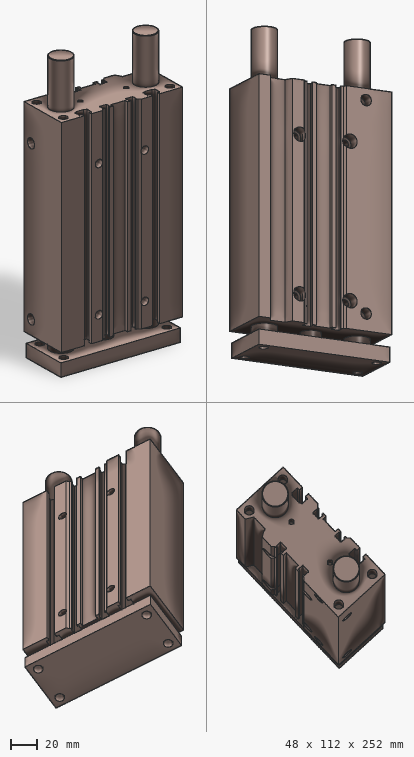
import cadquery as cq


total_height = 252.0
housing_width = 48.0
housing_depth = 112.0
housing_bottom = 21.2
housing_length = 188.5
housing_top = housing_bottom + housing_length
side_x = housing_width / 2
front_y = -housing_depth / 2

plate_width = 44.5
plate_depth = 110.5
plate_thickness = 11.8
guide_rod_diameter = 20.0
guide_rod_y = 39.0
guide_rod_chamfer = 0.5
piston_rod_diameter = 16.0

screw_hole_diameter = 7.0
housing_hole_x = 17.1
housing_hole_y = 49.1
housing_hole_depth = 17.6
plate_hole_x = 15.4
plate_hole_y = 47.6

top_pin_diameter = 4.0
top_pin_depth = 10.0

mount_hole_y = 21.2
mount_hole_diameter = 6.8
mount_bore_diameter = 11.0
mount_bore_depth = 10.0
mount_hole_heights = (43.0, 167.0)

port_diameter = 8.8
port_depth = 10.0
front_port_x = -14.9
front_port_heights = (34.3, 178.7)
side_port_y = -34.3
side_port_heights = (34.8, 200.5)

channel_half_width = 18.0
channel_depth = 2.0
channel_wall_run = 1.8
channel_x = side_x - channel_depth

sensor_slot_y = 12.0
sensor_mouth_width = 4.5
sensor_slot_width = 6.5
sensor_lip_x = 20.7
sensor_floor_x = 16.5
recess_half_width = 6.5
recess_floor_x = 19.0

groove_y = 37.0
groove_half_width = 9.3
groove_floor_half_width = 6.0
groove_depth = 5.8

bolt_slot_y = 31.5
bolt_mouth_half_width = 3.3
bolt_slot_half_width = 5.5
bolt_lip_x = 21.0
bolt_corner_x = 15.0
bolt_floor_x = 14.0


def profile_cut(points):
    """Prism of the given XY outline over the whole housing length."""
    return (
        cq.Workplane("XY", origin=(0, 0, housing_bottom))
        .polyline(points)
        .close()
        .extrude(housing_length)
    )


def box_cut(x_from, x_to, y_from, y_to):
    """Straight-sided prism over the whole housing length."""
    return profile_cut([(x_from, y_from), (x_to, y_from), (x_to, y_to), (x_from, y_to)])


def channel(side):
    """Channel, two sensor slots and the middle recess on the X face of the given sign."""
    floor_half_width = channel_half_width - channel_wall_run
    cut = profile_cut([
        (side * side_x, -channel_half_width),
        (side * channel_x, -floor_half_width),
        (side * channel_x, floor_half_width),
        (side * side_x, channel_half_width),
    ])
    for slot_y in (-sensor_slot_y, sensor_slot_y):
        for outer_x, width in ((channel_x, sensor_mouth_width), (sensor_lip_x, sensor_slot_width)):
            cut = cut.union(
                box_cut(side * sensor_floor_x, side * outer_x, slot_y - width / 2, slot_y + width / 2)
            )
    recess = box_cut(side * recess_floor_x, side * channel_x, -recess_half_width, recess_half_width)
    return cut.union(recess)


def side_groove():
    """Groove with sloping walls on the -X face."""
    floor_x = groove_depth - side_x
    return profile_cut([
        (-side_x, groove_y - groove_half_width),
        (floor_x, groove_y - groove_floor_half_width),
        (floor_x, groove_y + groove_floor_half_width),
        (-side_x, groove_y + groove_half_width),
    ])


def bolt_slot(center_y):
    """Slot on the +X face for a bolt head, with sloping corners at the floor."""
    half_outline = [
        (side_x, bolt_mouth_half_width),
        (bolt_lip_x, bolt_mouth_half_width),
        (bolt_lip_x, bolt_slot_half_width),
        (bolt_corner_x, bolt_slot_half_width),
        (bolt_floor_x, bolt_mouth_half_width),
    ]
    upper = [(x, center_y + y) for x, y in half_outline]
    lower = [(x, center_y - y) for x, y in reversed(half_outline)]
    return profile_cut(upper + lower)


def bore(center, direction, diameter, depth):
    """Cylinder that starts at center and runs along direction."""
    return cq.Workplane(
        cq.Solid.makeCylinder(diameter / 2, depth, cq.Vector(*center), cq.Vector(*direction))
    )


def corner_points(corner_x, corner_y):
    """The four points at (+-corner_x, +-corner_y)."""
    return [(x, y) for x in (-corner_x, corner_x) for y in (-corner_y, corner_y)]


def make_housing():
    body = cq.Workplane("XY", origin=(0, 0, housing_bottom)).rect(housing_width, housing_depth)
    body = body.extrude(housing_length)

    for side in (-1, 1):
        body = body.cut(channel(side))
    body = body.cut(side_groove())
    for slot_y in (-bolt_slot_y, bolt_slot_y):
        body = body.cut(bolt_slot(slot_y))

    down = (0, 0, -1)
    for y in (-guide_rod_y, guide_rod_y):
        body = body.cut(bore((0, y, housing_top), down, guide_rod_diameter, housing_length))
    for x, y in corner_points(housing_hole_x, housing_hole_y):
        body = body.cut(bore((x, y, housing_top), down, screw_hole_diameter, housing_hole_depth))
    for y in (-mount_hole_y, mount_hole_y):
        body = body.cut(bore((0, y, housing_top), down, top_pin_diameter, top_pin_depth))

    inward_x = (1, 0, 0)
    for y in (-mount_hole_y, mount_hole_y):
        for z in mount_hole_heights:
            start = (-side_x, y, z)
            body = body.cut(bore(start, inward_x, mount_hole_diameter, housing_width))
            body = body.cut(bore(start, inward_x, mount_bore_diameter, mount_bore_depth))

    for z in side_port_heights:
        body = body.cut(bore((-side_x, side_port_y, z), inward_x, port_diameter, port_depth))
    for z in front_port_heights:
        body = body.cut(bore((front_port_x, front_y, z), (0, 1, 0), port_diameter, port_depth))
    return body


def make_carriage():
    """Tool plate with its two guide rods and the piston rod, as one moving body."""
    plate = cq.Workplane("XY").rect(plate_width, plate_depth).extrude(plate_thickness)
    for x, y in corner_points(plate_hole_x, plate_hole_y):
        plate = plate.cut(bore((x, y, 0), (0, 0, 1), screw_hole_diameter, plate_thickness))
    guide_rods = (
        cq.Workplane("XY")
        .pushPoints([(0, -guide_rod_y), (0, guide_rod_y)])
        .circle(guide_rod_diameter / 2)
        .extrude(total_height)
        .faces(">Z")
        .chamfer(guide_rod_chamfer)
    )
    piston_rod = cq.Workplane("XY").circle(piston_rod_diameter / 2).extrude(housing_bottom)
    return plate.union(guide_rods).union(piston_rod)


housing = make_housing()
carriage = make_carriage()

result = cq.Compound.makeCompound([housing.solids().val(), carriage.solids().val()])